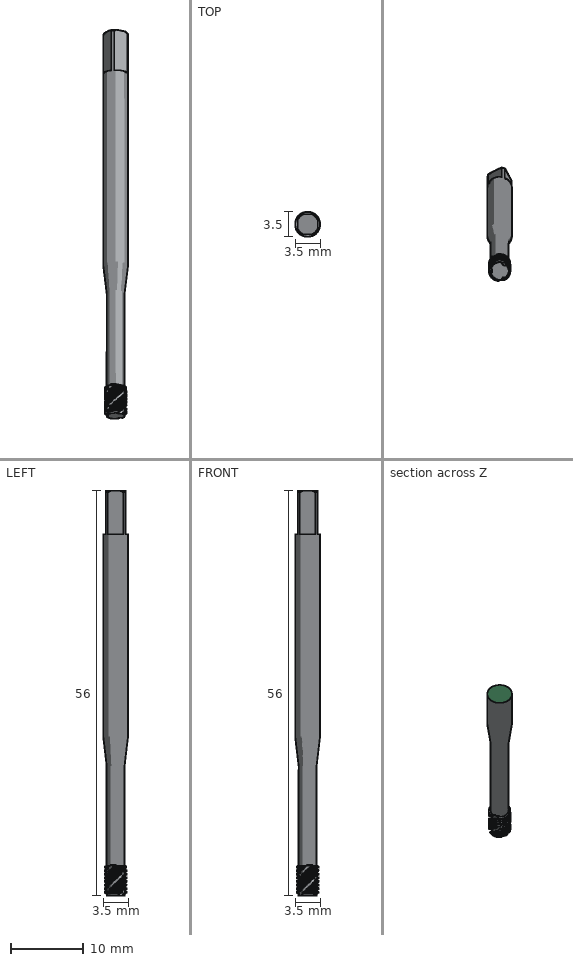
import cadquery as cq
import math

TOTAL_LENGTH = 56.0
NECK_END = 18.0
TAPER_END = 22.0

SQUARE_LENGTH = 6.0

SHANK_DIAMETER = 3.5
NECK_DIAMETER = 2.5
SQUARE_SIDE = 2.75
END_CHAMFER = 0.2

THREAD_DIAMETER = 3.0
ROOT_DIAMETER = NECK_DIAMETER
PITCH = 0.5
RING_COUNT = 8
CREST_WIDTH = 0.14
ROOT_WIDTH = 0.1
FIRST_CREST = 0.5
RING_BASE = PITCH - ROOT_WIDTH
HEAD_LENGTH = FIRST_CREST + (RING_COUNT - 1) * PITCH + RING_BASE / 2

FLUTE_COUNT = 3
FLUTE_RADIUS = 0.4
FLUTE_OFFSET = 1.4
FLUTE_LEAD = 7.85
FLUTE_RUNOUT = 0.1
FLUTE_LENGTH = HEAD_LENGTH + FLUTE_RUNOUT
FLUTE_START_ANGLE = -153.0


def make_shank():
    """Turned shank with a slim neck, a tapered shoulder and a driving square."""
    shank_radius = SHANK_DIAMETER / 2
    neck_radius = NECK_DIAMETER / 2
    body = (
        cq.Workplane("XZ")
        .moveTo(0, HEAD_LENGTH)
        .lineTo(neck_radius, HEAD_LENGTH)
        .lineTo(neck_radius, NECK_END)
        .lineTo(shank_radius, TAPER_END)
        .lineTo(shank_radius, TOTAL_LENGTH - END_CHAMFER)
        .lineTo(shank_radius - END_CHAMFER, TOTAL_LENGTH)
        .lineTo(0, TOTAL_LENGTH)
        .close()
        .revolve(360, (0, 0, 0), (0, 1, 0))
    )
    square_waste = (
        cq.Workplane("XY", origin=(0, 0, TOTAL_LENGTH - SQUARE_LENGTH))
        .rect(2 * SHANK_DIAMETER, 2 * SHANK_DIAMETER)
        .rect(SQUARE_SIDE, SQUARE_SIDE)
        .extrude(SQUARE_LENGTH)
    )
    return body.cut(square_waste)


def make_thread_blank():
    """Solid of revolution with one flat-crested ring per pitch."""
    crest_radius = THREAD_DIAMETER / 2
    root_radius = ROOT_DIAMETER / 2
    outline = [(0, 0), (root_radius, 0)]
    for ring in range(RING_COUNT):
        height = FIRST_CREST + ring * PITCH
        outline += [
            (root_radius, height - RING_BASE / 2),
            (crest_radius, height - CREST_WIDTH / 2),
            (crest_radius, height + CREST_WIDTH / 2),
            (root_radius, height + RING_BASE / 2),
        ]
    outline.append((0, HEAD_LENGTH))
    return cq.Workplane("XZ").polyline(outline).close().revolve(360, (0, 0, 0), (0, 1, 0))


def make_flute(index):
    """Round-bottomed right-hand spiral groove that runs out just above the last ring."""
    angle = math.radians(FLUTE_START_ANGLE + index * 360 / FLUTE_COUNT)
    return (
        cq.Workplane("XY")
        .moveTo(FLUTE_OFFSET * math.cos(angle), FLUTE_OFFSET * math.sin(angle))
        .circle(FLUTE_RADIUS)
        .twistExtrude(FLUTE_LENGTH, 360 * FLUTE_LENGTH / FLUTE_LEAD)
    )


def cut_flutes(body):
    """Remove the evenly spaced flutes from a body and keep its single solid."""
    for index in range(FLUTE_COUNT):
        body = body.cut(make_flute(index))
    return body.solids()


shank = cut_flutes(make_shank())
cutting_head = cut_flutes(make_thread_blank())
result = cq.Compound.makeCompound([shank.val(), cutting_head.val()])